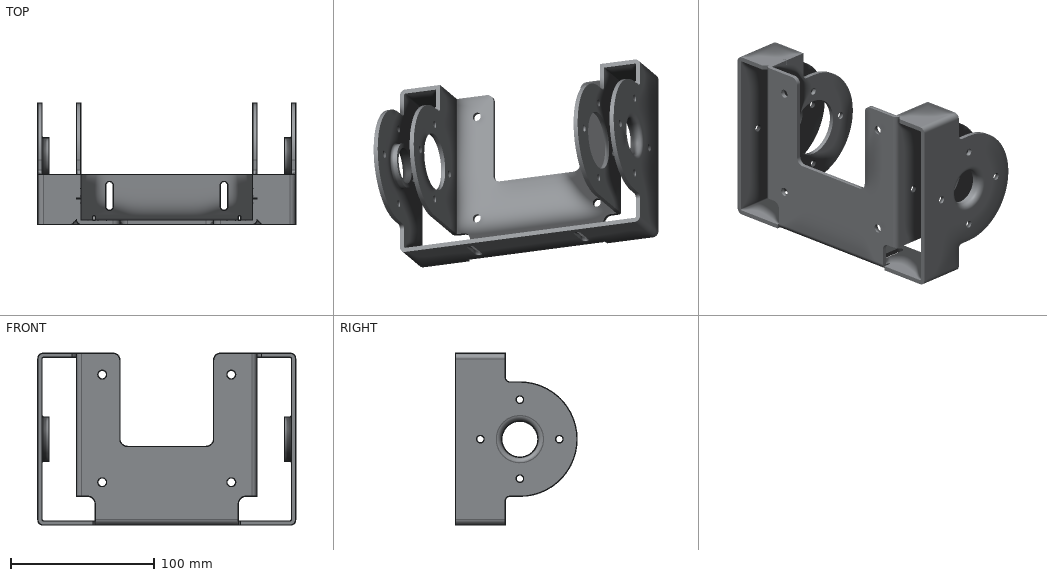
import cadquery as cq

WIDTH = 180.0
HEIGHT = 120.0
SHEET = 3.0
FLANGE_DEPTH = 35.0

FRAME_BEND = 0.9
FRAME_BEND_OUTER = FRAME_BEND + SHEET
WALL_BEND = 0.4
WALL_BEND_OUTER = WALL_BEND + SHEET

EAR_RADIUS = 40.0
EAR_Y = 45.0
EAR_Z = HEIGHT / 2
EAR_FILLET = 3.0
EAR_TIP = EAR_Y + EAR_RADIUS
EAR_TOP = EAR_Z + EAR_RADIUS
EAR_BOTTOM = EAR_Z - EAR_RADIUS

BOLT_OFFSET = 27.5
BOLT_DIAMETER = 5.0
COLLAR_BORE = 25.0
COLLAR_MOUTH = COLLAR_BORE + 2 * FRAME_BEND_OUTER
COLLAR_DEPTH = 8.0
INNER_WALL_BORE = 40.0

INNER_WIDTH = 126.0
NECK_WIDTH = 100.0
NOTCH_HEIGHT = EAR_BOTTOM
PLATE_FILLET = 5.0
WINDOW_WIDTH = 65.2
WINDOW_BOTTOM = 55.0
PLATE_HOLE_DIAMETER = 6.0
PLATE_HOLE_SPACING = (90.0, 75.0)
PLATE_HOLE_MID_Z = 67.5

TAB_DEPTH = 18.0
TAB_GAP = 0.4
JOINT_CHAMFER = 3.2

BASE_SLOT_SPACING = 80.0
BASE_SLOT_LENGTH = 20.0
BASE_SLOT_WIDTH = 5.0
BASE_SLOT_Y = 20.0
RELIEF_WIDTH = 1.5
RELIEF_DEPTH = 6.3


def block(x_range, y_range, z_range):
    """Box given by its limits along each axis."""
    (x0, x1), (y0, y1), (z0, z1) = x_range, y_range, z_range
    return cq.Workplane("XY").box(x1 - x0, y1 - y0, z1 - z0, centered=False).translate((x0, y0, z0))


def both_sides(solid):
    """The solid together with its mirror image across X = 0."""
    return solid.union(solid.mirror("YZ"))


def side_outline():
    """Side silhouette of the walls: a rectangle with a rounded ear, across the full width."""
    fillet_y = FLANGE_DEPTH + EAR_FILLET
    return (
        cq.Workplane("YZ", origin=(-WIDTH / 2, 0, 0))
        .lineTo(0, HEIGHT)
        .lineTo(FLANGE_DEPTH, HEIGHT)
        .lineTo(FLANGE_DEPTH, EAR_TOP + EAR_FILLET)
        .tangentArcPoint((fillet_y, EAR_TOP), relative=False)
        .lineTo(EAR_Y, EAR_TOP)
        .threePointArc((EAR_TIP, EAR_Z), (EAR_Y, EAR_BOTTOM))
        .lineTo(fillet_y, EAR_BOTTOM)
        .tangentArcPoint((FLANGE_DEPTH, EAR_BOTTOM - EAR_FILLET), relative=False)
        .lineTo(FLANGE_DEPTH, 0)
        .close()
        .extrude(WIDTH)
    )


def outer_frame():
    """Base, outer side walls and inward top flanges, bent from one strip."""
    half = WIDTH / 2
    flange_end = INNER_WIDTH / 2 - SHEET
    length = (0, EAR_TIP)
    frame = block((-half, half), length, (0, HEIGHT)).edges("|Y").fillet(FRAME_BEND_OUTER)
    hollow = block((SHEET - half, half - SHEET), length, (SHEET, HEIGHT - SHEET))
    opening = block((-flange_end, flange_end), length, (HEIGHT / 2, HEIGHT))
    frame = frame.cut(hollow.edges("|Y").fillet(FRAME_BEND)).cut(opening)
    return frame.intersect(side_outline()).cut(flange_joint_cut())


def flange_joint_cut():
    """Clearance in the top flanges for the raised tab of each inner wall."""
    wall_outside = INNER_WIDTH / 2
    cut = (
        cq.Workplane("XY", origin=(0, 0, HEIGHT - SHEET))
        .polyline([
            (wall_outside - SHEET, 0),
            (wall_outside + JOINT_CHAMFER, 0),
            (wall_outside, JOINT_CHAMFER),
            (wall_outside, TAB_DEPTH + TAB_GAP),
            (wall_outside - SHEET, TAB_DEPTH + TAB_GAP),
        ])
        .close()
        .extrude(SHEET)
    )
    return both_sides(cut)


def inner_bracket():
    """Front plate with the two inner walls bent back from it."""
    half = INNER_WIDTH / 2
    wall_inside = half - SHEET
    height = (0, HEIGHT)
    bracket = block((-half, half), (0, EAR_TIP), height).edges("|Z and <Y").fillet(WALL_BEND_OUTER)
    hollow = block((-wall_inside, wall_inside), (SHEET, EAR_TIP), height)
    bracket = bracket.cut(hollow.edges("|Z and <Y").fillet(WALL_BEND))
    bracket = bracket.intersect(side_outline())
    notch = block((NECK_WIDTH / 2, half), (0, EAR_TIP), (0, NOTCH_HEIGHT))
    notch = notch.edges("|Y and <X and >Z").fillet(PLATE_FILLET)
    under_flange = block((wall_inside, half), (TAB_DEPTH, FLANGE_DEPTH), (HEIGHT - SHEET, HEIGHT))
    return bracket.cut(both_sides(notch)).cut(both_sides(under_flange))


def front_window():
    """Open-topped window in the front plate, rounded at its lower corners."""
    half = WINDOW_WIDTH / 2
    window = block((-half, half), (0, SHEET), (WINDOW_BOTTOM, HEIGHT))
    return window.edges("|Y and <Z").fillet(PLATE_FILLET)


def plate_holes():
    """Four mounting holes through the front plate."""
    return (
        cq.Workplane("XZ", origin=(0, 0, PLATE_HOLE_MID_Z))
        .rarray(*PLATE_HOLE_SPACING, 2, 2)
        .circle(PLATE_HOLE_DIAMETER / 2)
        .extrude(-SHEET)
    )


def base_slots():
    """Two slots through the base, long in Y."""
    return (
        cq.Workplane("XY")
        .center(0, BASE_SLOT_Y)
        .rarray(BASE_SLOT_SPACING, 1.8, 2, 1)
        .slot2D(BASE_SLOT_LENGTH, BASE_SLOT_WIDTH, 90)
        .extrude(SHEET)
    )


def bend_reliefs():
    """Round-ended slits beside the bend between base and front plate, open at Y = 0."""
    slit = (
        cq.Workplane("XY", origin=((NECK_WIDTH + RELIEF_WIDTH) / 2, 0, 0))
        .slot2D(2 * RELIEF_DEPTH, RELIEF_WIDTH, 90)
        .extrude(SHEET)
    )
    return both_sides(slit)


def collar():
    """Collar drawn inward from the left outer wall, rounded where it leaves the wall."""
    bore = COLLAR_BORE / 2
    rim = bore + SHEET
    mouth = COLLAR_MOUTH / 2
    return (
        cq.Workplane("XY", origin=(-WIDTH / 2, EAR_Y, EAR_Z))
        .moveTo(0, mouth)
        .radiusArc((FRAME_BEND_OUTER, bore), -FRAME_BEND_OUTER)
        .lineTo(COLLAR_DEPTH, bore)
        .lineTo(COLLAR_DEPTH, rim)
        .lineTo(FRAME_BEND_OUTER, rim)
        .radiusArc((SHEET, mouth), FRAME_BEND)
        .lineTo(0, mouth)
        .close()
        .revolve(360, (0, 0, 0), (1, 0, 0))
    )


def bolt_holes():
    """Four holes around the ear axis, through all the side walls."""
    holes = cq.Workplane("YZ", origin=(-WIDTH / 2, EAR_Y, EAR_Z)).polarArray(BOLT_OFFSET, 0, 360, 4)
    return holes.circle(BOLT_DIAMETER / 2).extrude(WIDTH)


def ear_bore(diameter, width):
    """Cylinder on the ear axis, centred on X = 0."""
    return cq.Workplane("YZ", origin=(-width / 2, EAR_Y, EAR_Z)).circle(diameter / 2).extrude(width)


def fillet_edge(body, midpoint, radius):
    """Round the edge whose middle lies at this point."""
    return body.edges(cq.selectors.NearestToPointSelector(midpoint)).fillet(radius)


frame = outer_frame().cut(ear_bore(COLLAR_MOUTH, WIDTH))
frame = frame.union(both_sides(collar()))

bracket = inner_bracket().cut(ear_bore(INNER_WALL_BORE, INNER_WIDTH)).cut(front_window())
for side in (-1, 1):
    bracket = fillet_edge(bracket, (side * WINDOW_WIDTH / 2, SHEET / 2, HEIGHT), PLATE_FILLET)

body = frame.union(bracket).cut(bend_reliefs())
body = fillet_edge(body, (0, 0, 0), FRAME_BEND_OUTER)
body = fillet_edge(body, (0, SHEET, SHEET), FRAME_BEND)

result = body.cut(bolt_holes()).cut(plate_holes()).cut(base_slots())